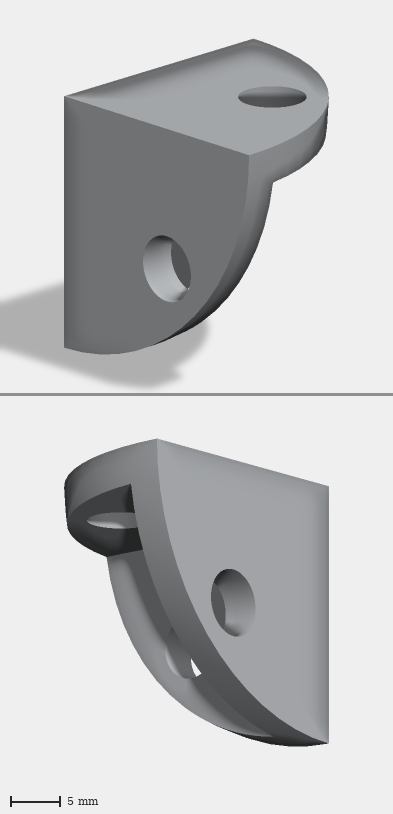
import cadquery as cq

radius = 27.0
wall = 4.0
hole_diameter = 7.0
hole_offset = 15.0


def corner_walls():
    """Three mutually perpendicular walls meeting at the outer corner (0, 0, 0), below Z = 0."""
    block = cq.Workplane("XY").box(radius, radius, radius, centered=False)
    cavity = block.translate((wall, wall, wall))
    return block.cut(cavity).mirror("XY")


def wall_hole(plane):
    """Cutter for a hole square to the wall that lies in the given plane."""
    second_offset = hole_offset if plane == "XY" else -hole_offset
    return (
        cq.Workplane(plane)
        .center(hole_offset, second_offset)
        .circle(hole_diameter / 2)
        .extrude(radius, both=True)
    )


result = corner_walls().intersect(cq.Workplane("XY").sphere(radius))

for wall_plane in ("XY", "XZ", "YZ"):
    result = result.cut(wall_hole(wall_plane))